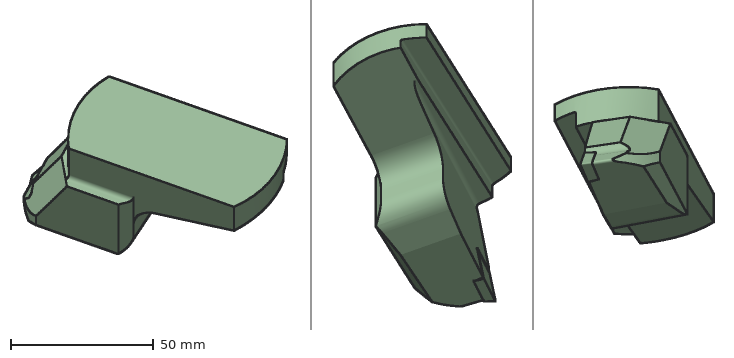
import cadquery as cq
import math

overall_length = 95.36
overall_height = 46.0
flange_radius = 38.5
flange_front_y = -21.0
flange_rear_y = 16.5

lip_thickness = 7.2
shelf_y = 7.8
shelf_depth = 13.85
lip_fillet = 0.8

arm_end_depth = 11.2
arm_slope = 10.0
arm_fillet = 10.0

head_top_z = -15.1
head_right_x = -7.0
head_front_y = -25.0
head_side_chamfer = flange_front_y - head_front_y
head_bottom_chamfer_z = -40.7
head_corner_radius = 9.0
neck_fillet = 1.6
flank_lean = 30.0
corner_face_angle = 33.3
corner_face_x = -31.1

bottom_bend_x = -24.2
bottom_bend_z = -44.2
bottom_rise_angle = 12.6
bottom_fall_angle = 2.3

groove_arc_start = (-55.0, -10.65)
groove_arc_middle = (-50.0, -18.55)
groove_arc_end = (-43.1, head_front_y)

tip_x = flange_radius - overall_length
tip_y = 0.0
tip_z = -overall_height
rear_tilt = 3.8
insert_edge = 11.6
insert_thickness = 3.97
insert_angle = 55.0
insert_relief = 7.0
insert_nose_radius = 0.4
insert_tilt = 2.5
insert_proud = 0.2
front_edge_direction = insert_angle + insert_tilt

jaw_setback = 0.55
jaw_nose_radius = 0.8
jaw_flat_length = 8.0
scoop_top = 11.8
scoop_bow = 0.9

reach = 120.0


def plate_xz(outline, y_min, y_max):
    """Extrude a closed XZ outline from y_min to y_max."""
    return outline.extrude(y_max - y_min).translate((0, y_max, 0))


def in_tip_frame(solid):
    """Place a solid drawn around the origin at the tip, square to the rear plane."""
    return solid.rotate((0, 0, 0), (0, 0, 1), rear_tilt).translate((tip_x, tip_y, tip_z))


def leaning_block(anchor, plan_angle, slope):
    """Block left of a plane through anchor that leans outwards towards the bottom."""
    outline = cq.Workplane("XZ").polyline(
        [(0, 0), (-reach * slope, -reach), (-2 * reach, -reach), (-2 * reach, 0)]
    ).close()
    block = plate_xz(outline, -reach, reach)
    return block.rotate((0, 0, 0), (0, 0, 1), plan_angle).translate(anchor)


def along_edge(direction, distance):
    """Point at a distance from the origin in a direction given in degrees."""
    angle = math.radians(direction)
    return (distance * math.cos(angle), distance * math.sin(angle))


def added(first, second):
    """Sum of two plane vectors."""
    return (first[0] + second[0], first[1] + second[1])


def rear_plane_y(x):
    return tip_y - insert_proud + (x - tip_x) * math.tan(math.radians(rear_tilt))


def behind_rear_plane(top_z):
    """Everything behind the tilted rear plane and below top_z."""
    block = (
        cq.Workplane("XY")
        .box(2 * reach, reach, reach, centered=(True, False, False))
        .translate((0, -insert_proud, top_z - reach - tip_z))
        .edges(">Z and <Y")
        .fillet(neck_fillet)
    )
    return in_tip_frame(block)


def make_flange():
    corner_z = -arm_end_depth - (flange_radius - head_right_x) * math.tan(math.radians(arm_slope))
    tangent = arm_fillet * math.tan(math.radians(45 - arm_slope / 2))
    fillet_start = added((head_right_x, corner_z), along_edge(arm_slope, tangent))
    fillet_end = (head_right_x, corner_z - tangent)
    centre = (head_right_x + arm_fillet, fillet_end[1])
    fillet_middle = added(centre, along_edge(135 + arm_slope / 2, arm_fillet))
    hidden_x = head_right_x - head_side_chamfer

    outline = (
        cq.Workplane("XZ")
        .moveTo(-flange_radius, 0)
        .lineTo(flange_radius, 0)
        .lineTo(flange_radius, -arm_end_depth)
        .lineTo(*fillet_start)
        .threePointArc(fillet_middle, fillet_end)
        .lineTo(hidden_x, fillet_end[1])
        .lineTo(hidden_x, head_top_z)
        .lineTo(-flange_radius, head_top_z)
        .close()
    )
    flange = plate_xz(outline, flange_front_y, flange_rear_y)
    disc = cq.Workplane("XY").circle(flange_radius).extrude(-overall_height)
    lip_gap = (
        cq.Workplane("XY")
        .box(2 * reach, reach, reach, centered=(True, False, False))
        .translate((0, shelf_y, -lip_thickness - reach))
        .edges("|X and >Z and <Y")
        .fillet(lip_fillet)
    )
    return flange.intersect(disc).cut(lip_gap).cut(behind_rear_plane(-shelf_depth))


def head_left_x():
    return -flange_radius - neck_fillet


def flank_blocks():
    """Cutting blocks for the leaning end flank and the leaning corner face."""
    flank_slope = math.tan(math.radians(flank_lean))
    corner_slope = flank_slope * math.cos(math.radians(corner_face_angle))
    left_x = head_left_x()
    end_anchor = (left_x, rear_plane_y(left_x), head_top_z)
    corner_anchor = (corner_face_x, head_front_y, head_top_z)
    return [
        leaning_block(end_anchor, rear_tilt, flank_slope),
        leaning_block(corner_anchor, corner_face_angle, corner_slope),
    ]


def make_head_block():
    rise = math.tan(math.radians(bottom_rise_angle))
    corner = (head_right_x, bottom_bend_z + (head_right_x - bottom_bend_x) * rise)
    tangent = head_corner_radius * math.tan(math.radians(45 - bottom_rise_angle / 2))
    arc_start = (head_right_x, corner[1] + tangent)
    arc_end = added(corner, along_edge(180 + bottom_rise_angle, tangent))
    centre = (head_right_x - head_corner_radius, arc_start[1])
    arc_middle = added(centre, along_edge(bottom_rise_angle / 2 - 45, head_corner_radius))
    left_x = tip_x - insert_edge
    left_z = bottom_bend_z - (bottom_bend_x - left_x) * math.tan(math.radians(bottom_fall_angle))
    outline = (
        cq.Workplane("XZ")
        .moveTo(head_right_x, head_top_z)
        .lineTo(*arc_start)
        .threePointArc(arc_middle, arc_end)
        .lineTo(bottom_bend_x, bottom_bend_z)
        .lineTo(left_x, left_z)
        .lineTo(left_x, head_top_z)
        .close()
    )
    return plate_xz(outline, head_front_y, shelf_y)


def side_chamfer():
    return (
        cq.Workplane("XY")
        .polyline([
            (head_right_x, flange_front_y),
            (head_right_x, head_front_y),
            (head_right_x - head_side_chamfer, head_front_y),
        ])
        .close()
        .extrude(-overall_height)
    )


def bottom_chamfer():
    drop = head_bottom_chamfer_z + overall_height
    return (
        cq.Workplane("YZ", origin=(tip_x, 0, 0))
        .polyline([
            (head_front_y, head_bottom_chamfer_z),
            (head_front_y + drop, -overall_height),
            (head_front_y, -overall_height),
        ])
        .close()
        .extrude(overall_length)
    )


def outside_groove_arc():
    """Region outside the plan arc, in front of the insert."""
    outer_x = tip_x - insert_edge
    return (
        cq.Workplane("XY")
        .moveTo(*groove_arc_start)
        .threePointArc(groove_arc_middle, groove_arc_end)
        .lineTo(outer_x, head_front_y)
        .lineTo(outer_x, groove_arc_start[1])
        .close()
        .extrude(-overall_height)
    )


def insert_corner():
    """Sharp corner of the insert, placed so that its nose just reaches the tip."""
    nose_offset = insert_nose_radius / math.sin(math.radians(insert_angle / 2))
    bisector = along_edge(insert_tilt + insert_angle / 2, -nose_offset)
    return added((insert_nose_radius, insert_nose_radius), bisector)


def insert_rhombus(oversize=0.0):
    """Relieved rhombus; oversize moves its two cutting edges outwards only."""
    edge = insert_edge + oversize
    along_bottom = along_edge(insert_tilt, 1.0)
    along_front = along_edge(front_edge_direction, 1.0)
    outward = (
        -oversize * (along_bottom[0] + along_front[0]),
        -oversize * (along_bottom[1] + along_front[1]),
    )
    start = added(insert_corner(), outward)
    right = added(start, along_edge(insert_tilt, edge))
    top = added(start, along_edge(front_edge_direction, edge))
    far = added(right, along_edge(front_edge_direction, edge))
    outline = cq.Workplane("XZ").polyline([start, right, far, top]).close()
    return outline.extrude(insert_thickness, taper=insert_relief)


def make_insert():
    return in_tip_frame(insert_rhombus().edges("<X").fillet(insert_nose_radius))


def jaw_relief():
    """Flat set back behind the insert's edge, with a round scoop above it."""
    setback = added(insert_corner(), along_edge(front_edge_direction - 90, jaw_setback))
    bottom = added(setback, along_edge(front_edge_direction, -insert_edge))
    flat_top = added(setback, along_edge(front_edge_direction, jaw_flat_length))
    flank_slope = math.tan(math.radians(flank_lean))
    scoop_end = (head_left_x() - tip_x - (head_top_z - tip_z - scoop_top) * flank_slope, scoop_top)
    middle = ((flat_top[0] + scoop_end[0]) / 2, (flat_top[1] + scoop_end[1]) / 2)
    scoop_middle = added(middle, (scoop_bow, 0))
    outline = (
        cq.Workplane("XZ")
        .moveTo(*bottom)
        .lineTo(*flat_top)
        .threePointArc(scoop_middle, scoop_end)
        .lineTo(-insert_edge, scoop_top)
        .lineTo(-insert_edge, bottom[1])
        .close()
    )
    return in_tip_frame(plate_xz(outline, -reach, reach))


def cove_section(wall, direction, plane):
    """Concave fillet section between a vertical wall and the head's top."""
    outer = wall + direction * neck_fillet
    bow = neck_fillet * (1 - math.sqrt(0.5))
    return (
        cq.Workplane(plane)
        .moveTo(wall, head_top_z)
        .lineTo(outer, head_top_z)
        .threePointArc((wall + direction * bow, head_top_z + bow), (wall, head_top_z + neck_fillet))
        .close()
    )


def make_neck():
    """Fillet round the left and front of the flange, where the head starts."""
    ring = cove_section(flange_radius, 1, "XZ").revolve(360, (0, 0, 0), (0, 1, 0))
    bar = cove_section(flange_front_y, -1, "YZ").extrude(-2 * flange_radius)
    corner = ring.intersect(bar)
    half_chord = math.sqrt(flange_radius**2 - flange_front_y**2)
    behind_front = (
        cq.Workplane("XY")
        .box(2 * reach, reach, reach, centered=(True, False, True))
        .translate((0, flange_front_y, 0))
    )
    straight = cove_section(flange_front_y, -1, "YZ").extrude(-half_chord)
    return ring.intersect(behind_front).union(straight).union(corner)


def head_top_footprint():
    """Upright block over the outline of the head's top."""
    left_x = head_left_x()
    left_run = corner_face_x - left_x
    outline = [
        (left_x, shelf_y),
        (left_x, head_front_y + left_run / math.tan(math.radians(corner_face_angle))),
        (corner_face_x, head_front_y),
        (head_right_x, head_front_y),
        (head_right_x, shelf_y),
    ]
    return cq.Workplane("XY").polyline(outline).close().extrude(-overall_height)


def make_holder():
    head = make_head_block()
    for block in flank_blocks():
        head = head.cut(block)
    head = head.cut(jaw_relief()).edges("<X").fillet(jaw_nose_radius)
    head = head.cut(bottom_chamfer()).cut(outside_groove_arc())
    head = head.cut(in_tip_frame(insert_rhombus(insert_thickness)))
    neck = make_neck().intersect(head_top_footprint())
    holder = make_flange().union(head).union(neck)
    return holder.cut(behind_rear_plane(-shelf_depth)).cut(side_chamfer())


holder = make_holder()
insert = make_insert()

result = cq.Compound.makeCompound([holder.solids().val(), insert.solids().val()])